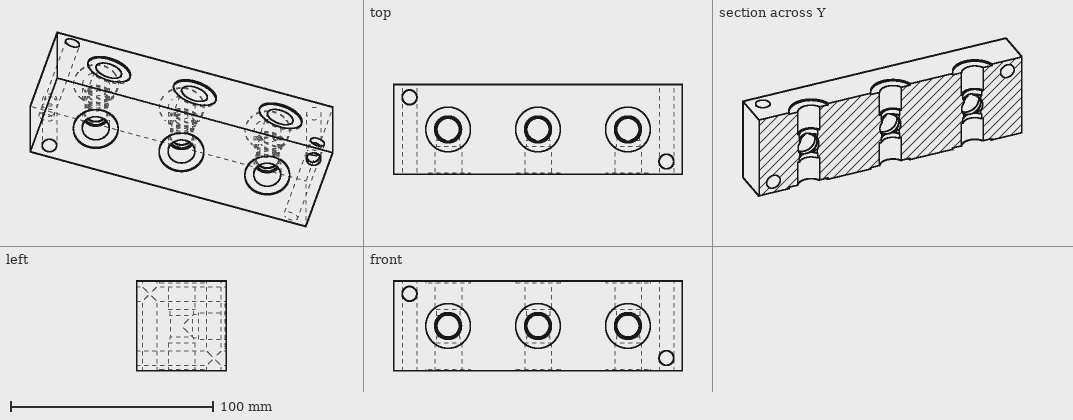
import cadquery as cq

LENGTH = 142.88
SIDE = 44.45

PORT_PITCH = SIDE
PORT_POSITIONS = (-PORT_PITCH, 0, PORT_PITCH)
SPOTFACE_DIAMETER = 22.12
SPOTFACE_DEPTH = 0.79
PORT_DIAMETER = 13.26
PORT_DEPTH = 14.0
BORE_DIAMETER = 11.68

PASSAGE_DIAMETER = 11.11
BORE_END_OFFSET = 5.4
BORE_DEPTH = SIDE / 2 - BORE_END_OFFSET

MOUNT_DIAMETER = 7.14
MOUNT_END_INSET = 7.94
MOUNT_SIDE_INSET = 6.35

TOP_FACE = cq.Workplane("XY", origin=(0, 0, SIDE / 2))
BOTTOM_FACE = cq.Workplane("XY", origin=(0, 0, -SIDE / 2)).transformed(rotate=(180, 0, 0))
FRONT_FACE = cq.Workplane("XZ", origin=(0, -SIDE / 2, 0))


def drill(face, points, diameter, depth):
    """Cylinders reaching into the block from a face; the face normal points outward."""
    return face.pushPoints(points).circle(diameter / 2).extrude(-depth)


def ports(face):
    """Spotfaced, stepped ports along the centreline of a face, with a passage to the centre."""
    points = [(x, 0) for x in PORT_POSITIONS]
    spotfaces = drill(face, points, SPOTFACE_DIAMETER, SPOTFACE_DEPTH)
    entries = drill(face, points, PORT_DIAMETER, PORT_DEPTH)
    bores = drill(face, points, BORE_DIAMETER, BORE_DEPTH)
    passages = drill(face, points, PASSAGE_DIAMETER, SIDE / 2)
    return spotfaces.union(entries).union(bores).union(passages)


def mounting_holes(face):
    """Through holes at the upper left and lower right corners of a face."""
    x = LENGTH / 2 - MOUNT_END_INSET
    y = SIDE / 2 - MOUNT_SIDE_INSET
    return drill(face, [(-x, y), (x, -y)], MOUNT_DIAMETER, SIDE)


result = cq.Workplane("XY").box(LENGTH, SIDE, SIDE)

for port_face in (TOP_FACE, BOTTOM_FACE, FRONT_FACE):
    result = result.cut(ports(port_face))

for mounting_face in (TOP_FACE, FRONT_FACE):
    result = result.cut(mounting_holes(mounting_face))